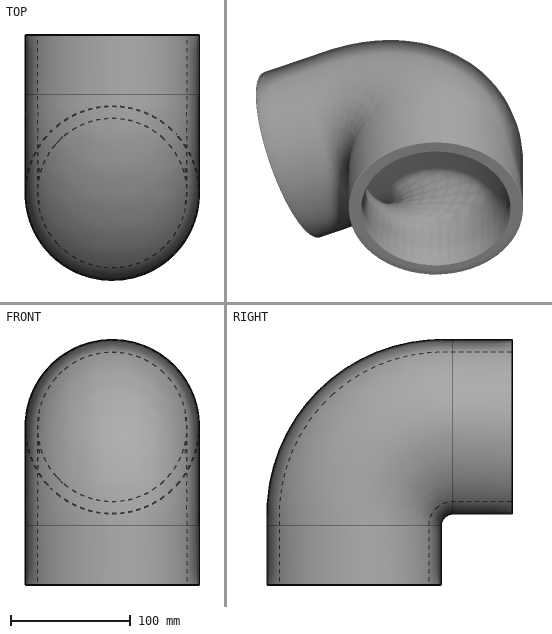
import cadquery as cq
import math

overall_length = 205.5
outer_diameter = 146.0
bore_diameter = 125.0
spigot_length = 50.1
outside_arc_radius = 146.3
end_chamfer = 0.6
bend_angle = 90
section_count = 9

bend_radius = overall_length - spigot_length - outer_diameter / 2

leg_reach = spigot_length + bend_radius

outside_straight = bend_radius + outer_diameter / 2 - outside_arc_radius


def outside_reach(angle, inset):
    """Distance from the bend pivot to the outside profile, set inwards by the inset."""
    reach_at_ends = bend_radius + outer_diameter / 2 - inset
    angle_to_nearest_end = min(angle, math.pi / 2 - angle)
    if reach_at_ends * math.tan(angle_to_nearest_end) <= outside_straight:
        return reach_at_ends / math.cos(angle_to_nearest_end)
    along = outside_straight * (math.cos(angle) + math.sin(angle))
    across = outside_straight * (math.cos(angle) - math.sin(angle))
    return along + math.sqrt((outside_arc_radius - inset) ** 2 - across**2)


def bend_section(angle, diameter):
    """Elliptical section in the plane through the bend pivot at this angle."""
    inset = (outer_diameter - diameter) / 2
    inner_reach = bend_radius - diameter / 2
    outer_reach = outside_reach(angle, inset)
    centre_reach = (inner_reach + outer_reach) / 2
    half_depth = (outer_reach - inner_reach) / 2
    centre = (
        0,
        bend_radius - centre_reach * math.cos(angle),
        spigot_length + centre_reach * math.sin(angle),
    )
    outwards = (0, -math.cos(angle), math.sin(angle))
    forwards = (0, math.sin(angle), math.cos(angle))
    half_width = min(diameter / 2, half_depth)
    return cq.Wire.makeEllipse(
        half_depth, half_width, cq.Vector(centre), cq.Vector(forwards), cq.Vector(outwards)
    )


def elbow_solid(diameter):
    """Solid through both spigots and the bend, starting from this diameter."""
    radius = diameter / 2
    vertical_leg = cq.Workplane("XY").circle(radius).extrude(spigot_length)
    horizontal_mouth = cq.Plane(origin=(0, leg_reach, leg_reach), xDir=(1, 0, 0), normal=(0, -1, 0))
    horizontal_leg = cq.Workplane(horizontal_mouth).circle(radius).extrude(spigot_length)
    step = math.radians(bend_angle) / (section_count - 1)
    sections = [bend_section(index * step, diameter) for index in range(section_count)]
    bend = cq.Workplane(cq.Solid.makeLoft(sections))
    return bend.union(vertical_leg).union(horizontal_leg)


body = elbow_solid(outer_diameter)
body = body.faces("<Z").edges().chamfer(end_chamfer)
body = body.faces(">Y").edges().chamfer(end_chamfer)

result = body.cut(elbow_solid(bore_diameter))